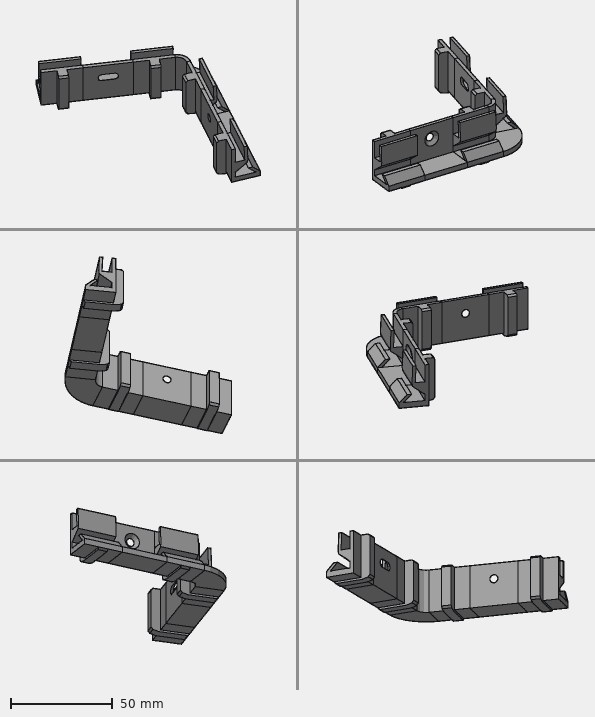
import cadquery as cq
import math


OVERALL_LENGTH = 98.1
ARM_LEAN = 9.8
CORNER_SWEEP = 90 - ARM_LEAN
INNER_RADIUS = 5.0

RAIL_DEPTH = 15.0
RAIL_HEIGHT = 22.0
WALL_THICKNESS = 2.0
BASE_THICKNESS = 2.9

CLIP_LENGTH = 21.0
LEAN_ANGLE = math.radians(ARM_LEAN)
CORNER_EXTENT = (INNER_RADIUS + RAIL_DEPTH) * math.cos(LEAN_ANGLE)
ARM_LENGTH = (OVERALL_LENGTH - CORNER_EXTENT) / (1 + math.sin(LEAN_ANGLE))
WEB_LENGTH = ARM_LENGTH - 2 * CLIP_LENGTH

LIP_RISE = 4.0
LIP_WIDTH = 2.3

SHELF_TOP = 13.0
SHELF_ROOT = 6.2
TOOTH_FOOT_REACH = 6.3
TOOTH_FOOT_HEIGHT = 11.1
TOOTH_BACK_REACH = 6.6
TOOTH_GAP = 4.9
TOOTH_LEAN = 0.4

RIB_WIDTH = 5.0
RIB_REACH = 5.0
RIB_DROP = 1.1
RIB_CHAMFER = 1.0
RIB_TIP_HEIGHT = 0.9
RIB_TOE_HEIGHT = -0.3
RIB_FLAT_REACH = 1.0

HOLE_DIAMETER = 4.0
HOLE_HEIGHT = 13.9
SLOT_LENGTH = 10.0
HOLE_SINK_DIAMETER = 8.0
SLOT_SINK_WIDTH = 7.4

RAIL_OUTLINE = [
    (0, 0),
    (RAIL_DEPTH, 0),
    (RAIL_DEPTH, BASE_THICKNESS),
    (WALL_THICKNESS, BASE_THICKNESS),
    (WALL_THICKNESS, RAIL_HEIGHT),
    (0, RAIL_HEIGHT),
]

LIP_TOP = BASE_THICKNESS + LIP_RISE
TOOTH_FRONT_OUT = WALL_THICKNESS + TOOTH_GAP
TOOTH_BACK_OUT = WALL_THICKNESS + TOOTH_BACK_REACH

CLIP_OUTLINE = [
    (0, 0),
    (RAIL_DEPTH, 0),
    (RAIL_DEPTH, BASE_THICKNESS),
    (RAIL_DEPTH - LIP_RISE, LIP_TOP),
    (RAIL_DEPTH - LIP_RISE - LIP_WIDTH, LIP_TOP),
    (RAIL_DEPTH - LIP_WIDTH, BASE_THICKNESS),
    (WALL_THICKNESS, BASE_THICKNESS),
    (WALL_THICKNESS, SHELF_ROOT),
    (WALL_THICKNESS + TOOTH_FOOT_REACH, TOOTH_FOOT_HEIGHT),
    (TOOTH_BACK_OUT, SHELF_TOP),
    (TOOTH_BACK_OUT - TOOTH_LEAN, RAIL_HEIGHT),
    (TOOTH_FRONT_OUT - TOOTH_LEAN, RAIL_HEIGHT),
    (TOOTH_FRONT_OUT, SHELF_TOP),
    (WALL_THICKNESS, SHELF_TOP),
    (WALL_THICKNESS, RAIL_HEIGHT),
    (0, RAIL_HEIGHT),
]

RIB_OUTLINE = [
    (RAIL_DEPTH, 0),
    (0, 0),
    (0, RAIL_HEIGHT),
    (RIB_CHAMFER - RIB_REACH, RAIL_HEIGHT),
    (-RIB_REACH, RAIL_HEIGHT - RIB_CHAMFER),
    (-RIB_REACH, RIB_TIP_HEIGHT),
    (RIB_CHAMFER - RIB_REACH, RIB_TOE_HEIGHT),
    (-RIB_FLAT_REACH, -RIB_DROP),
    (RAIL_DEPTH - RIB_CHAMFER, -RIB_DROP),
]

SECTION = cq.Plane(origin=(0, INNER_RADIUS, 0), xDir=(0, 1, 0), normal=(1, 0, 0))


def extrude_section(outline, start, length):
    """Cross-section extruded along +X from X = start."""
    section = cq.Workplane(SECTION).workplane(offset=start)
    return section.polyline(outline).close().extrude(length)


def make_clip(start):
    """Rail with lip, hook and a rib across its middle."""
    rib_start = start + (CLIP_LENGTH - RIB_WIDTH) / 2
    rail = extrude_section(CLIP_OUTLINE, start, CLIP_LENGTH)
    return rail.union(extrude_section(RIB_OUTLINE, rib_start, RIB_WIDTH))


def inner_wall_plane():
    """Plane on the inner face of the wall, facing outward, centred on the screw hole of the web."""
    web_middle = CLIP_LENGTH + WEB_LENGTH / 2
    origin = (web_middle, INNER_RADIUS, HOLE_HEIGHT)
    return cq.Workplane(cq.Plane(origin=origin, xDir=(-1, 0, 0), normal=(0, 1, 0)))


def make_round_hole_web():
    """Plain rail with a round screw hole, countersunk from the outer face of the wall."""
    hole = (
        inner_wall_plane()
        .circle(HOLE_DIAMETER / 2)
        .workplane(offset=WALL_THICKNESS)
        .circle(HOLE_SINK_DIAMETER / 2)
        .loft(ruled=True)
    )
    return extrude_section(RAIL_OUTLINE, CLIP_LENGTH, WEB_LENGTH).cut(hole)


def make_slotted_web():
    """Plain rail with a screw slot that is countersunk from the outer face of the wall."""
    sink_length = SLOT_LENGTH + SLOT_SINK_WIDTH - HOLE_DIAMETER
    slot = (
        inner_wall_plane()
        .slot2D(SLOT_LENGTH, HOLE_DIAMETER)
        .workplane(offset=WALL_THICKNESS)
        .slot2D(sink_length, SLOT_SINK_WIDTH)
        .loft(ruled=True)
    )
    return extrude_section(RAIL_OUTLINE, CLIP_LENGTH, WEB_LENGTH).cut(slot)


def make_corner():
    """Rail revolved about the Z axis between the two arms."""
    outline = cq.Workplane(SECTION).polyline(RAIL_OUTLINE).close()
    return outline.revolve(CORNER_SWEEP, (-INNER_RADIUS, 0), (-INNER_RADIUS, 1))


def onto_second_arm(body):
    """Body built along +X, mirrored across X = 0 and turned to follow the corner."""
    return body.mirror("YZ").rotate((0, 0, 0), (0, 0, 1), CORNER_SWEEP)


clips = []
for clip_start in (0, CLIP_LENGTH + WEB_LENGTH):
    clips.append(make_clip(clip_start))
    clips.append(onto_second_arm(make_clip(clip_start)))

round_hole_web = make_round_hole_web()
slotted_web = onto_second_arm(make_slotted_web())
corner = make_corner()

result = cq.Compound.makeCompound(
    [
        corner.val(),
        round_hole_web.val(),
        slotted_web.val(),
        *[clip.val() for clip in clips],
    ]
)